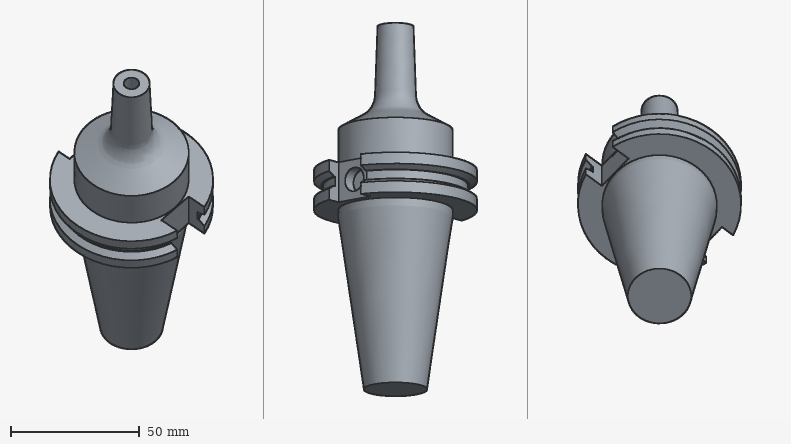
import cadquery as cq
import math

total_length = 144.5
taper_length = 68.2

gauge_radius = 22.2
taper_rate = 7 / 24
taper_end_radius = gauge_radius - taper_length * taper_rate / 2

flange_diameter = 63.4
flange_radius = flange_diameter / 2
collar_length = 3.2
flange_thickness = 15.9
flange_bottom = taper_length + collar_length
flange_top = flange_bottom + flange_thickness
flange_middle = (flange_bottom + flange_top) / 2

groove_width = 7.0
groove_floor_width = 3.6
groove_floor_radius = 28.2
groove_flank_angle = 60
flank_height = (groove_width - groove_floor_width) / 2
flank_end_radius = flange_radius - flank_height * math.tan(math.radians(groove_flank_angle))

nose_tip_radius = 7.1
nose_base_radius = 8.2
nose_length = 33.1
shoulder_slope = 30
shoulder_fillet = 10.0
nose_base = total_length - nose_length
shoulder_height = (gauge_radius - nose_base_radius) * math.tan(math.radians(shoulder_slope))
shoulder_bottom = nose_base - shoulder_height

slot_width = 16.0
deep_slot_floor = 22.5
shallow_slot_floor = 25.0

slot_hole_diameter = 9.4
slot_hole_depth = 5.0
bore_diameter = 5.9
bore_depth = 28.9


def make_body():
    """Revolved holder: taper, collar, body, shoulder and nose, with the flange round it."""
    holder = (
        cq.Workplane("XZ")
        .moveTo(0, 0)
        .lineTo(taper_end_radius, 0)
        .lineTo(gauge_radius, taper_length)
        .lineTo(gauge_radius, shoulder_bottom)
        .lineTo(nose_base_radius, nose_base)
        .lineTo(nose_tip_radius, total_length)
        .lineTo(0, total_length)
        .close()
        .revolve(360, (0, 0), (0, 1))
    )
    nose_root = cq.selectors.NearestToPointSelector((0, 0, nose_base))
    holder = holder.edges(nose_root).fillet(shoulder_fillet)
    flange = (
        cq.Workplane("XY", origin=(0, 0, flange_bottom))
        .circle(flange_radius)
        .extrude(flange_thickness)
    )
    return holder.union(flange)


def make_groove():
    """Ring that cuts the gripper groove round the middle of the flange."""
    half_mouth = groove_width / 2
    half_floor = groove_floor_width / 2
    return (
        cq.Workplane("XZ", origin=(0, 0, flange_middle))
        .moveTo(flange_radius, -half_mouth)
        .lineTo(flank_end_radius, -half_floor)
        .lineTo(groove_floor_radius, -half_floor)
        .lineTo(groove_floor_radius, half_floor)
        .lineTo(flank_end_radius, half_floor)
        .lineTo(flange_radius, half_mouth)
        .close()
        .revolve(360, (0, 0), (0, 1))
    )


def make_slot(side, floor_distance):
    """Drive slot through the flange on one side (+1 for +X, -1 for -X)."""
    depth = flange_radius - floor_distance
    return (
        cq.Workplane("XY", origin=(side * (floor_distance + depth / 2), 0, flange_middle))
        .box(depth, slot_width, flange_thickness)
    )


def make_slot_hole():
    """Blind hole running inward from the floor of the shallow slot."""
    return (
        cq.Workplane("YZ", origin=(-shallow_slot_floor, 0, flange_middle))
        .circle(slot_hole_diameter / 2)
        .extrude(slot_hole_depth)
    )


def make_bore():
    """Blind tool bore in the tip of the nose."""
    return (
        cq.Workplane("XY", origin=(0, 0, total_length))
        .circle(bore_diameter / 2)
        .extrude(-bore_depth)
    )


result = (
    make_body()
    .cut(make_groove())
    .cut(make_slot(1, deep_slot_floor))
    .cut(make_slot(-1, shallow_slot_floor))
    .cut(make_slot_hole())
    .cut(make_bore())
)